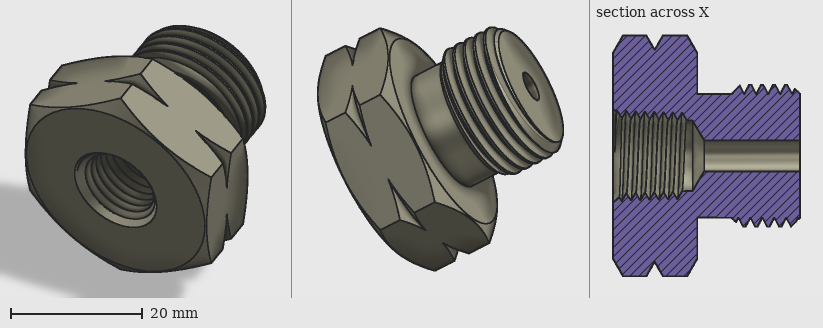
import cadquery as cq
import math


corner_span = 36.65
corner_radius = corner_span / 2
nut_length = 12.83
face_circle_radius = 15.65
bevel_angle = math.radians(30)
groove_height = 6.35
groove_bottom_radius = 16.13

total_length = 28.45
shank_radius = 9.42
outer_thread_radius = 10.8
outer_thread_length = 10.4
outer_thread_base = total_length - outer_thread_length
outer_pitch = 9.1 / 5
outer_crest_width = 0.35
outer_flank_angle = math.radians(27.5)
outer_root_to_end = 2.55

bore_mouth_radius = 5.72
bore_depth = 12.1
bore_taper = 1 / 32
mouth_chamfer_radius = 7.2
passage_radius = 2.35
drill_cone_height = 1.75
inner_pitch = 14.1 / 10
inner_crest_width = 0.055
inner_flank_angle = math.radians(30)
inner_root_height = 0.4
inner_start_angle = -149.0

cutter_overshoot = 0.2
blank_allowance = 2 * outer_pitch


def revolve(points):
    """Solid of revolution about Z from (radius, height) points."""
    return cq.Workplane("XZ").polyline(points).close().revolve(360, (0, 0), (0, 1))


def helical_cutter(path, root_radius, mouth_radius, half_mouth):
    """Sweep a V with its tip at root_radius and its open side at mouth_radius along a helix."""
    profile = [(root_radius, 0), (mouth_radius, half_mouth), (mouth_radius, -half_mouth)]
    return cq.Workplane("XZ").polyline(profile).close().sweep(cq.Workplane(path), isFrenet=True)


def make_outer_thread():
    half_gap = (outer_pitch - outer_crest_width) / 2
    root_radius = outer_thread_radius - half_gap / math.tan(outer_flank_angle)
    half_mouth = half_gap + cutter_overshoot * math.tan(outer_flank_angle)
    turns_below_root = math.ceil(outer_thread_length / outer_pitch) - 1
    turns_above_root = 2
    turns = turns_below_root + turns_above_root
    start = total_length - outer_root_to_end - turns_below_root * outer_pitch
    path = cq.Wire.makeHelix(outer_pitch, turns * outer_pitch, root_radius)
    cutter = helical_cutter(path, root_radius, outer_thread_radius + cutter_overshoot, half_mouth)
    rod = cq.Workplane("XY").circle(outer_thread_radius).extrude(total_length + blank_allowance)
    threaded_rod = rod.cut(cutter.translate((0, 0, start)))

    chamfer = outer_thread_radius - shank_radius
    envelope = revolve([
        (0, outer_thread_base),
        (shank_radius, outer_thread_base),
        (outer_thread_radius, outer_thread_base + chamfer),
        (outer_thread_radius, total_length - chamfer),
        (shank_radius, total_length),
        (0, total_length),
    ])
    return threaded_rod.intersect(envelope)


def make_shank():
    length = outer_thread_base - nut_length
    return cq.Workplane("XY").workplane(offset=nut_length).circle(shank_radius).extrude(length)


def make_nut_envelope():
    bevel = (corner_radius - face_circle_radius) * math.tan(bevel_angle)
    half_groove = (corner_radius - groove_bottom_radius) * math.tan(bevel_angle)
    return revolve([
        (0, 0),
        (face_circle_radius, 0),
        (corner_radius, bevel),
        (corner_radius, groove_height - half_groove),
        (groove_bottom_radius, groove_height),
        (corner_radius, groove_height + half_groove),
        (corner_radius, nut_length - bevel),
        (face_circle_radius, nut_length),
        (0, nut_length),
    ])


def make_bore():
    return revolve([
        (0, -blank_allowance),
        (bore_mouth_radius + blank_allowance * bore_taper, -blank_allowance),
        (bore_mouth_radius - bore_depth * bore_taper, bore_depth),
        (passage_radius, bore_depth + drill_cone_height),
        (passage_radius, total_length),
        (0, total_length),
    ])


def make_inner_thread_cutter():
    half_gap = (inner_pitch - inner_crest_width) / 2
    start = inner_root_height - inner_pitch
    crest_radius = bore_mouth_radius - start * bore_taper
    root_radius = crest_radius + half_gap / math.tan(inner_flank_angle)
    half_mouth = half_gap + cutter_overshoot * math.tan(inner_flank_angle)
    cone_angle = -math.degrees(math.atan(bore_taper))
    length = bore_depth - inner_pitch - start
    path = cq.Wire.makeHelix(inner_pitch, length, root_radius, angle=cone_angle)
    cutter = helical_cutter(path, root_radius, crest_radius - cutter_overshoot, half_mouth)
    return cutter.translate((0, 0, start)).rotate((0, 0, 0), (0, 0, 1), inner_start_angle)


def make_mouth_chamfer():
    return revolve([(0, 0), (mouth_chamfer_radius, 0), (0, mouth_chamfer_radius)])


def make_nut(bore):
    blank = (
        cq.Workplane("XY", origin=(0, 0, -blank_allowance))
        .polygon(6, corner_span)
        .extrude(nut_length + blank_allowance)
        .rotate((0, 0, 0), (0, 0, 1), 30)
    )
    threaded_blank = blank.cut(bore).cut(make_inner_thread_cutter())
    return threaded_blank.intersect(make_nut_envelope()).cut(make_mouth_chamfer())


def make_stem(bore):
    return make_shank().union(make_outer_thread()).cut(bore)


bore = make_bore()
fitting = make_nut(bore).union(make_stem(bore))
result = fitting.solids().rotate((0, 0, 0), (1, 0, 0), -90)